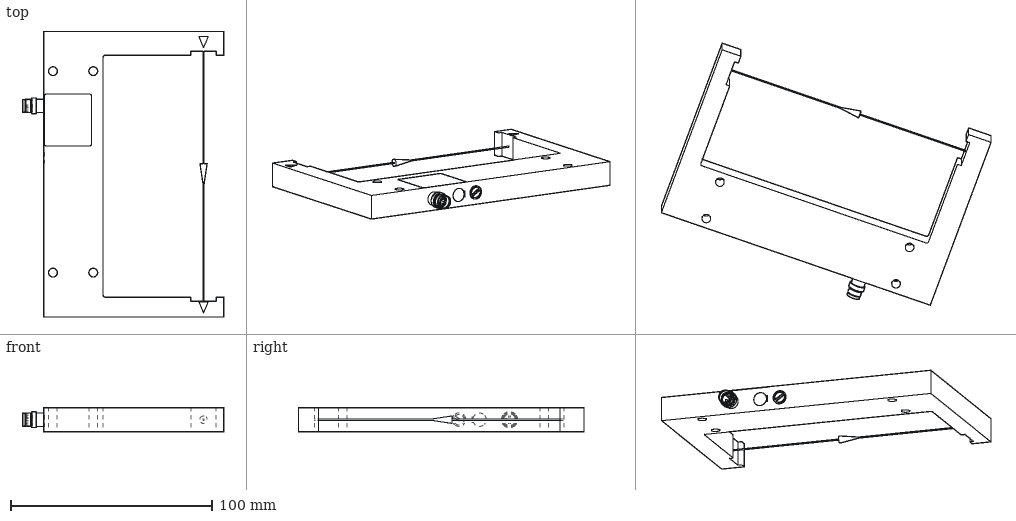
import cadquery as cq
import math

frame_length = 142.0
frame_reach = 89.6
thickness = 12.0
mid_height = thickness / 2
spine_width = 29.7
upper_arm_width = 11.9
lower_arm_width = 10.0
inner_corner_radius = 1.0
upper_inner_y = frame_length / 2 - upper_arm_width
lower_inner_y = -frame_length / 2 + lower_arm_width

window_start = 73.3
window_end = 85.8
window_depth = 2.0
window_edge_radius = 0.4
upper_window_y = upper_inner_y + window_depth
lower_window_y = lower_inner_y - window_depth

hole_diameter = 4.3
hole_first_x = 4.7
hole_spacing_x = 20.0
hole_spacing_y = 100.1
hole_pattern_y = 1.1

mark_depth = 0.1
panel_start_x = 0.4
panel_end_x = 23.9
panel_low_y = 14.0
panel_high_y = 39.8
panel_corner_radius = 0.9
triangle_width = 4.5
triangle_length = 5.4
upper_triangle_y = 68.3
lower_triangle_y = -63.5

indicator_y = 19.0
indicator_diameter = 6.7
indicator_tab_reach = 3.8
indicator_tab_height = 2.8
indicator_depth = 0.1
indicator_tab_depth = 0.4
screw_y = 8.8
screw_recess_diameter = 6.7
screw_head_diameter = 5.3
screw_recess_depth = 0.5
screw_slot_width = 1.0
screw_slot_angle = 33.0

connector_y = 34.0
connector_length = 10.4
base_diameter = 6.8
flange_diameter = 8.0
flange_start = 3.5
flange_end = 6.0
flange_chamfer = 0.1
neck_diameter = 6.4
neck_end = 6.5
collar_diameter = 6.7
collar_end = 7.7
bead_diameter = 6.8
bead_slope = 0.4
bead_end = 9.1
tip_diameter = 6.5
socket_diameter = 5.8
socket_depth = 5.0
contact_diameter = 1.0
contact_radius = 1.5
contact_setback = 2.1
contact_angles = [-90, 0, 90]

beam_x = (window_start + window_end) / 2
beam_diameter = 0.6
arrow_diameter = 3.7
arrow_base_y = 5.3
arrow_length = 10.2


def box_between(x_min, x_max, y_min, y_max, z_min, z_max):
    return cq.Workplane("XY").box(
        x_max - x_min, y_max - y_min, z_max - z_min, centered=False
    ).translate((x_min, y_min, z_min))


def back_cylinder(diameter, y, z, outer, inner):
    """Cylinder along X between two distances outward from the back face."""
    return (
        cq.Workplane("YZ", origin=(-outer, y, z))
        .circle(diameter / 2)
        .extrude(outer - inner)
    )


def make_fork():
    half_length = frame_length / 2
    plate = box_between(0, frame_reach, -half_length, half_length, 0, thickness)
    opening = box_between(spine_width, frame_reach, lower_inner_y, upper_inner_y, 0, thickness)
    opening = opening.edges("|Z and <X").fillet(inner_corner_radius)
    windows = box_between(window_start, window_end, lower_window_y, upper_window_y, 0, thickness)
    fork = plate.cut(opening).cut(windows)
    for y in (lower_inner_y, upper_inner_y):
        for x in (window_start, window_end):
            window_edge = cq.selectors.NearestToPointSelector((x, y, mid_height))
            fork = fork.edges("|Z").edges(window_edge).fillet(window_edge_radius)
    return fork


def make_mounting_holes():
    return (
        cq.Workplane("XY", origin=(hole_first_x + hole_spacing_x / 2, hole_pattern_y, 0))
        .rarray(hole_spacing_x, hole_spacing_y, 2, 2)
        .circle(hole_diameter / 2)
        .extrude(thickness)
    )


def make_panel_recess():
    panel = box_between(
        panel_start_x, panel_end_x, panel_low_y, panel_high_y, thickness - mark_depth, thickness
    )
    return panel.edges("|Z").fillet(panel_corner_radius)


def make_triangle_recess(base_y):
    """Arrowhead pointing along -Y, centred on the beam."""
    return (
        cq.Workplane("XY", origin=(beam_x, base_y, thickness - mark_depth))
        .moveTo(-triangle_width / 2, 0)
        .lineTo(triangle_width / 2, 0)
        .lineTo(0, -triangle_length)
        .close()
        .extrude(mark_depth)
    )


def make_indicator_recess():
    """Shallow disc with a deeper notch beside it."""
    disc = back_cylinder(indicator_diameter, indicator_y, mid_height, 0, -indicator_depth)
    tab = box_between(
        0, indicator_tab_depth, indicator_y - indicator_tab_reach, indicator_y,
        mid_height - indicator_tab_height / 2, mid_height + indicator_tab_height / 2,
    )
    full_depth_disc = back_cylinder(indicator_diameter, indicator_y, mid_height, 0, -indicator_tab_depth)
    return disc.union(tab.cut(full_depth_disc))


def make_screw_recess():
    """Ring around the screw head together with the slot across the head."""
    recess = back_cylinder(screw_recess_diameter, screw_y, mid_height, 0, -screw_recess_depth)
    head = back_cylinder(screw_head_diameter, screw_y, mid_height, 0, -screw_recess_depth)
    slot = (
        cq.Workplane("XY")
        .box(screw_recess_depth, screw_head_diameter, screw_slot_width)
        .rotate((0, 0, 0), (1, 0, 0), -screw_slot_angle)
        .translate((screw_recess_depth / 2, screw_y, mid_height))
    )
    return recess.cut(head.cut(slot))


def make_connector():
    profile = [
        (0, 0),
        (0, base_diameter / 2),
        (-flange_start, base_diameter / 2),
        (-flange_start, flange_diameter / 2 - flange_chamfer),
        (-flange_start - flange_chamfer, flange_diameter / 2),
        (-flange_end + flange_chamfer, flange_diameter / 2),
        (-flange_end, flange_diameter / 2 - flange_chamfer),
        (-flange_end, neck_diameter / 2),
        (-neck_end, neck_diameter / 2),
        (-neck_end, collar_diameter / 2),
        (-collar_end, collar_diameter / 2),
        (-collar_end - bead_slope, bead_diameter / 2),
        (-bead_end + bead_slope, bead_diameter / 2),
        (-bead_end, tip_diameter / 2),
        (-connector_length, tip_diameter / 2),
        (-connector_length, 0),
    ]
    connector = (
        cq.Workplane("XY")
        .polyline(profile)
        .close()
        .revolve(360, (0, 0, 0), (1, 0, 0))
        .translate((0, connector_y, mid_height))
    )
    socket_floor = connector_length - socket_depth
    socket = back_cylinder(socket_diameter, connector_y, mid_height, connector_length, socket_floor)
    connector = connector.cut(socket)
    contact_tip = connector_length - contact_setback
    for angle in contact_angles:
        y = connector_y - contact_radius * math.cos(math.radians(angle))
        z = mid_height + contact_radius * math.sin(math.radians(angle))
        connector = connector.union(back_cylinder(contact_diameter, y, z, contact_tip, socket_floor))
    return connector


def make_housing():
    housing = make_fork().cut(make_mounting_holes()).cut(make_panel_recess())
    for base_y in (upper_triangle_y, lower_triangle_y):
        housing = housing.cut(make_triangle_recess(base_y))
    housing = housing.cut(make_indicator_recess()).cut(make_screw_recess())
    return housing.union(make_connector())


def make_beam():
    """Thin rod spanning the windows, with a cone pointing along -Y."""
    beam_radius = beam_diameter / 2
    arrow_tip_y = arrow_base_y - arrow_length
    return (
        cq.Workplane("XY")
        .moveTo(0, lower_window_y)
        .lineTo(beam_radius, lower_window_y)
        .lineTo(beam_radius, arrow_tip_y)
        .lineTo(arrow_diameter / 2, arrow_base_y)
        .lineTo(beam_radius, arrow_base_y)
        .lineTo(beam_radius, upper_window_y)
        .lineTo(0, upper_window_y)
        .close()
        .revolve(360, (0, 0, 0), (0, 1, 0))
        .translate((beam_x, 0, mid_height))
    )


housing = make_housing()
beam = make_beam()
result = cq.Compound.makeCompound([housing.val(), beam.val()])